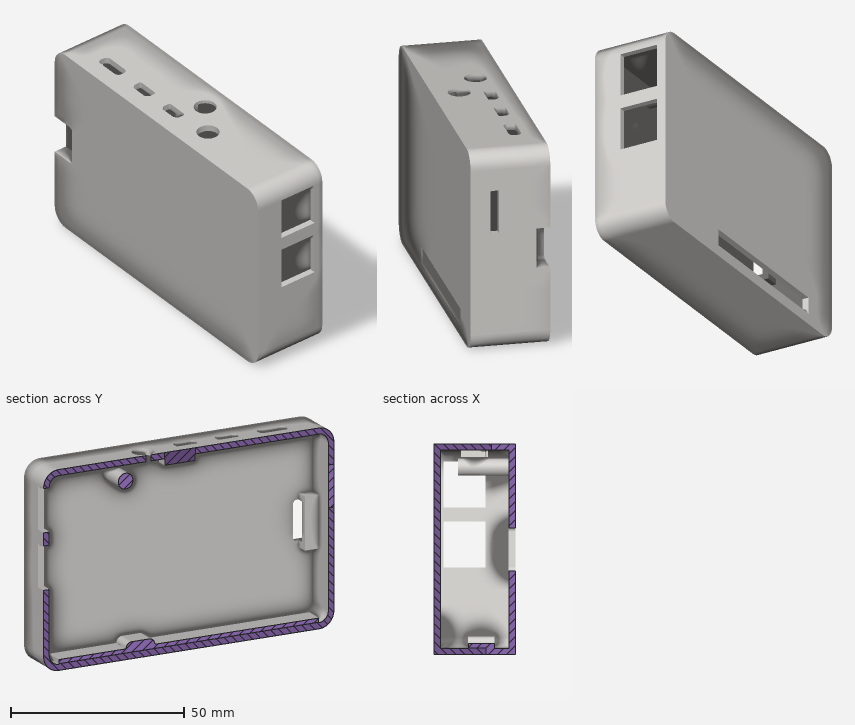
import cadquery as cq

LENGTH = 94.7
DEPTH = 23.6
HEIGHT = 61.0
CORNER_RADIUS = 5.0
WALL = 2.0

LEFT = -LENGTH / 2
RIGHT = LENGTH / 2
FRONT = -DEPTH / 2
BACK = DEPTH / 2
BOTTOM = -HEIGHT / 2
TOP = HEIGHT / 2
OVERCUT = 0.9

USB_C_X, USB_C_Y = -29.6, -4.5
USB_C_LENGTH, USB_C_DEPTH, USB_C_RADIUS = 9.4, 3.7, 1.4
HDMI_XS = (-14.9, -1.3)
HDMI_Y = -4.7
HDMI_LENGTH, HDMI_DEPTH, HDMI_CHAMFER, HDMI_RADIUS = 7.1, 3.4, 1.0, 0.6
JACK_X = 13.2
CABLE_HOLE_X, CABLE_HOLE_Y = 2.8, 3.9
ROUND_HOLE_RADIUS = 3.3

MAIN_PARTING_Y = -3.2
USB_PARTING_Y = -4.7
HDMI_PARTING_Y = -4.4
INSERT_PARTING_Y = -3.9
INSERT_PARTING_END_X = 6.2

INSERT_LENGTH = 10.0
INSERT_THICKNESS = 4.0

RECESS_RADIUS = 5.0
RECESS_WALL = 1.0

TOP_TOOL_DEPTH = INSERT_THICKNESS + 2 * OVERCUT

SLOT_BOTTOM_Z, SLOT_TOP_Z = 5.7, 18.8
SLOT_BACK_Y = 6.0
SLOT_RADIUS = 0.6
TONGUE_BACK_Y = 3.4

CARD_Z = -0.1
CARD_HEIGHT = 12.5
CARD_FLOOR_Y = -7.7
CARD_FLOOR_END_X = -40.9
CARD_NOTCH_END_X = -39.2
CARD_CORNER_RADIUS = 1.1
CARD_WALL = 1.9

LIP_FRONT_Y, LIP_BACK_Y = -5.8, 1.9
LIP_THICKNESS = 1.4
STEP_START_X, STEP_LENGTH = 11.0, 9.5
STEP_RADIUS = 1.9

POST_X, POST_Z = 20.55, 23.7
POST_RADIUS = 2.5
POST_BACK_Y = 4.7

USB_BAR_Z = 9.9
USB_BAR_HEIGHT = 4.2
USB_OPENING_HEIGHT = 13.3
USB_OPENING_BACK_Y = 9.0

HEADER_X, HEADER_LENGTH = -8.4, 51.0
HEADER_TOP_Z, HEADER_HEIGHT = -22.0, 5.1


def box(x_min, x_max, y_min, y_max, z_min, z_max):
    """Block given by its limits along each axis."""
    size = (x_max - x_min, y_max - y_min, z_max - z_min)
    return cq.Workplane("XY").box(*size, centered=False).translate((x_min, y_min, z_min))


def rounded_block(inset):
    """Case envelope with rounded corners along Y, moved inwards by the inset."""
    return (
        cq.Workplane("XY")
        .box(LENGTH - 2 * inset, DEPTH - 2 * inset, HEIGHT - 2 * inset)
        .edges("|Y")
        .fillet(CORNER_RADIUS - inset)
    )


def top_tool(x, y):
    """Workplane below the top wall and the insert, centred on a port."""
    return cq.Workplane("XY", origin=(x, y, TOP - INSERT_THICKNESS - OVERCUT))


def usb_c_cutter():
    """Rounded rectangular port."""
    cutter = top_tool(USB_C_X, USB_C_Y).rect(USB_C_LENGTH, USB_C_DEPTH).extrude(TOP_TOOL_DEPTH)
    return cutter.edges("|Z").fillet(USB_C_RADIUS)


def hdmi_cutter(x):
    """Rectangular port with its two front corners chamfered and its back corners rounded."""
    cutter = top_tool(x, HDMI_Y).rect(HDMI_LENGTH, HDMI_DEPTH).extrude(TOP_TOOL_DEPTH)
    cutter = cutter.faces("<Y").edges("|Z").chamfer(HDMI_CHAMFER)
    return cutter.faces(">Y").edges("|Z").fillet(HDMI_RADIUS)


def round_cutter(x, y):
    """Round hole through the top wall."""
    return top_tool(x, y).circle(ROUND_HOLE_RADIUS).extrude(TOP_TOOL_DEPTH)


def cut_top_ports(body):
    """All the connector ports and round holes of the top wall."""
    body = body.cut(usb_c_cutter())
    for x in HDMI_XS:
        body = body.cut(hdmi_cutter(x))
    body = body.cut(round_cutter(JACK_X, MAIN_PARTING_Y))
    return body.cut(round_cutter(CABLE_HOLE_X, CABLE_HOLE_Y))


def cut_right_openings(shell):
    """Two equal openings through the right wall, above and below the bar."""
    offset = (USB_BAR_HEIGHT + USB_OPENING_HEIGHT) / 2
    half = USB_OPENING_HEIGHT / 2
    for z in (USB_BAR_Z - offset, USB_BAR_Z + offset):
        opening = box(
            RIGHT - WALL - OVERCUT, RIGHT + OVERCUT, MAIN_PARTING_Y, USB_OPENING_BACK_Y, z - half, z + half
        )
        shell = shell.cut(opening)
    return shell


def cut_header_slot(shell):
    """Long slot through the back wall."""
    half = HEADER_LENGTH / 2
    slot = box(
        HEADER_X - half,
        HEADER_X + half,
        BACK - WALL - OVERCUT,
        BACK + OVERCUT,
        HEADER_TOP_Z - HEADER_HEIGHT,
        HEADER_TOP_Z,
    )
    return shell.cut(slot)


def make_shell():
    """Closed case with every opening that is shared by the bodies."""
    shell = rounded_block(0).cut(rounded_block(WALL))
    shell = cut_top_ports(shell)
    shell = cut_right_openings(shell)
    return cut_header_slot(shell)


def make_base_zone():
    """Space in front of the parting line, with the steps of the top wall and the left tongue."""
    far_left = LEFT - OVERCUT
    far_right = RIGHT + OVERCUT
    far_front = FRONT - OVERCUT
    upper = (
        cq.Workplane("XY", origin=(0, 0, SLOT_TOP_Z))
        .moveTo(far_left, far_front)
        .lineTo(far_left, USB_PARTING_Y)
        .lineTo(HDMI_XS[0], USB_PARTING_Y)
        .lineTo(HDMI_XS[0], HDMI_PARTING_Y)
        .lineTo(HDMI_XS[1], HDMI_PARTING_Y)
        .lineTo(HDMI_XS[1], INSERT_PARTING_Y)
        .lineTo(INSERT_PARTING_END_X, INSERT_PARTING_Y)
        .lineTo(INSERT_PARTING_END_X, MAIN_PARTING_Y)
        .lineTo(far_right, MAIN_PARTING_Y)
        .lineTo(far_right, far_front)
        .close()
        .extrude(TOP + OVERCUT - SLOT_TOP_Z)
    )
    lower = box(far_left, far_right, far_front, MAIN_PARTING_Y, BOTTOM - OVERCUT, SLOT_TOP_Z)
    tongue = box(far_left, LEFT + WALL, MAIN_PARTING_Y, TONGUE_BACK_Y, SLOT_BOTTOM_Z, SLOT_TOP_Z)
    return lower.union(upper).union(tongue)


def make_insert_zone():
    """Space of the insert in the top wall, from the front up to the middle of the cable hole."""
    half = INSERT_LENGTH / 2
    return box(CABLE_HOLE_X - half, CABLE_HOLE_X + half, FRONT, CABLE_HOLE_Y, TOP - INSERT_THICKNESS, TOP)


def recess_cutter():
    """Round recess in the inside of the top wall, around the cable hole."""
    floor = cq.Workplane("XY", origin=(CABLE_HOLE_X, CABLE_HOLE_Y, TOP - RECESS_WALL))
    return floor.circle(RECESS_RADIUS).extrude(RECESS_WALL - WALL)


def slot_cutter():
    """Slot through the left wall of the lid, rounded at its back corners."""
    slot = box(
        LEFT - OVERCUT, LEFT + WALL, MAIN_PARTING_Y, SLOT_BACK_Y, SLOT_BOTTOM_Z, SLOT_TOP_Z
    )
    return slot.faces(">Y").edges("|X").fillet(SLOT_RADIUS)


def add_card_notch(base):
    """Notch open to the left and front, with a floor that stops short of its right end."""
    z_min = CARD_Z - CARD_HEIGHT / 2
    z_max = CARD_Z + CARD_HEIGHT / 2
    housing = box(
        LEFT, CARD_FLOOR_END_X, FRONT, CARD_FLOOR_Y + CARD_WALL, z_min - CARD_WALL, z_max + CARD_WALL
    )
    notch = box(LEFT - OVERCUT, CARD_NOTCH_END_X, FRONT - OVERCUT, CARD_FLOOR_Y, z_min, z_max)
    notch = notch.faces(">X").edges("|Y").fillet(CARD_CORNER_RADIUS)
    return base.union(housing).cut(notch)


def add_lip(base):
    """Lip along the straight part of the bottom wall that reaches into the lid."""
    inner = BOTTOM + WALL
    lip = box(
        LEFT + CORNER_RADIUS,
        RIGHT - CORNER_RADIUS,
        LIP_FRONT_Y,
        LIP_BACK_Y,
        inner,
        inner + LIP_THICKNESS,
    )
    return base.union(lip)


def add_lip_step(base):
    """Raised length of the lip with rounded ends."""
    z_min = BOTTOM + WALL
    z_max = z_min + LIP_THICKNESS + STEP_RADIUS
    step = box(STEP_START_X, STEP_START_X + STEP_LENGTH, LIP_FRONT_Y, LIP_BACK_Y, z_min, z_max)
    return base.union(step.faces(">Z").edges("|Y").fillet(STEP_RADIUS))


def add_post(base):
    """Round post standing on the inside of the front wall."""
    y_min = FRONT + WALL
    plane = cq.Workplane("XZ", origin=(POST_X, y_min, POST_Z))
    return base.union(plane.circle(POST_RADIUS).extrude(y_min - POST_BACK_Y))


shell = make_shell()
base_zone = make_base_zone()
insert_zone = make_insert_zone()

base = add_card_notch(shell.intersect(base_zone))
base = add_lip(base)
base = add_lip_step(base)
base = add_post(base)
lid = shell.cut(base_zone).cut(insert_zone).cut(recess_cutter()).cut(slot_cutter())
insert = cut_top_ports(insert_zone).cut(base_zone)

result = cq.Compound.makeCompound([body.solids().val() for body in (base, lid, insert)])